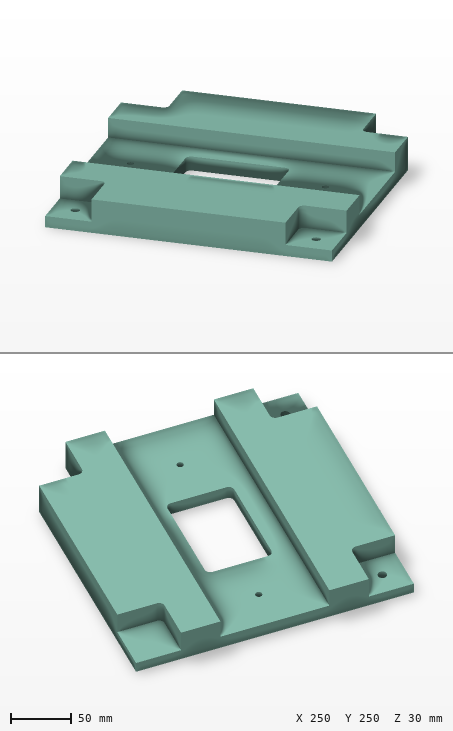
import cadquery as cq

side = 250.0
height = 30.0

channel_width = 98.0
channel_floor = 12.5

corner_size = 40.5
corner_floor = 10.0
corner_radius = 5.0

window_center_x = -5.0

window_length = 90.0
window_width = 60.0
window_radius = 5.0

channel_hole_diameter = 6.0
channel_hole_spacing = 170.0
corner_hole_diameter = 8.0
corner_hole_inset = 20.0

half = side / 2


def corner_cutter(x_sign, y_sign, floor):
    """Square cutter over one corner, rounded where it meets the block's inside."""
    cutter_size = 2 * corner_size
    return (
        cq.Workplane("XY", origin=(x_sign * half, y_sign * half, floor))
        .rect(cutter_size, cutter_size)
        .extrude(height - floor)
        .edges("|Z")
        .fillet(corner_radius)
    )


def through_holes(points, diameter):
    return cq.Workplane("XY").pushPoints(points).circle(diameter / 2).extrude(height)


block = cq.Workplane("XY").rect(side, side).extrude(height)

channel = (
    cq.Workplane("XY", origin=(0, 0, channel_floor))
    .rect(side, channel_width)
    .extrude(height - channel_floor)
)

window = (
    cq.Workplane("XY", origin=(window_center_x, 0, 0))
    .rect(window_length, window_width)
    .extrude(height)
    .edges("|Z")
    .fillet(window_radius)
)

result = block.cut(channel).cut(window)

corner_floors = {
    (-1, -1): corner_floor,
    (1, -1): corner_floor,
    (-1, 1): corner_floor,
    (1, 1): 0.0,
}
for (x_sign, y_sign), floor in corner_floors.items():
    result = result.cut(corner_cutter(x_sign, y_sign, floor))

channel_hole_reach = channel_hole_spacing / 2
channel_hole_points = [
    (window_center_x - channel_hole_reach, 0),
    (window_center_x + channel_hole_reach, 0),
]
result = result.cut(through_holes(channel_hole_points, channel_hole_diameter))

corner_hole_offset = half - corner_hole_inset
corner_hole_points = [
    (-corner_hole_offset, -corner_hole_offset),
    (corner_hole_offset, -corner_hole_offset),
]
result = result.cut(through_holes(corner_hole_points, corner_hole_diameter))